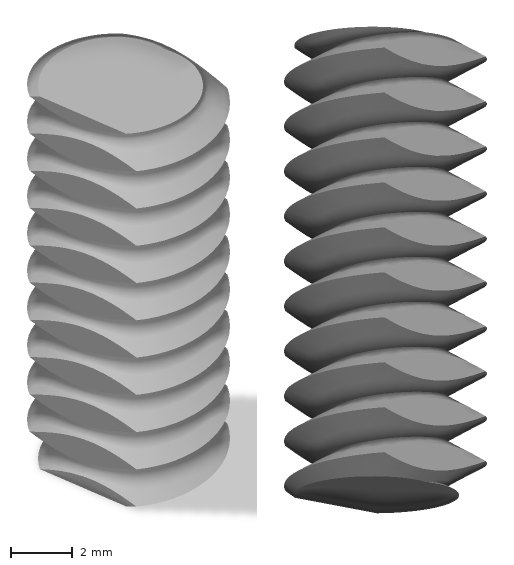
import cadquery as cq
import math

length = 15.0
pitch = 1.5
crest_radius = 3.3
thread_angle = 60.0
width_across_flats = 5.0

thread_depth = pitch / 2 / math.tan(math.radians(thread_angle / 2))
root_radius = crest_radius - thread_depth

spare_turns = 2
turn_count = math.ceil(length / pitch) + 2 * spare_turns
thread_bottom = -spare_turns * pitch - pitch / 2
thread_top = thread_bottom + turn_count * pitch
thread_start_angle = -90.0


def start_point(radius, z):
    """Point where a turn of the given radius starts, on the -Y side."""
    return cq.Vector(0, -radius, z)


def helix_turn(radius, z):
    """One right-handed turn rising by one pitch from z."""
    helix = cq.Wire.makeHelix(pitch, pitch, radius).Edges()[0]
    turned = helix.rotate(cq.Vector(0, 0, 0), cq.Vector(0, 0, 1), thread_start_angle)
    return turned.translate(cq.Vector(0, 0, z))


def flank_faces():
    """Upward and downward flanks, one ruled face each per turn."""
    faces = []
    for turn in range(turn_count):
        lower_root_z = thread_bottom + turn * pitch
        lower_root = helix_turn(root_radius, lower_root_z)
        crest = helix_turn(crest_radius, lower_root_z + pitch / 2)
        upper_root = helix_turn(root_radius, lower_root_z + pitch)
        faces.append(cq.Face.makeRuledSurface(lower_root, crest))
        faces.append(cq.Face.makeRuledSurface(crest, upper_root))
    return faces


def end_faces(root_z):
    """Ramp from the axis out to one root turn, and the tooth profile closing its step."""
    axis_low = cq.Vector(0, 0, root_z)
    axis_high = cq.Vector(0, 0, root_z + pitch)
    ramp = cq.Face.makeRuledSurface(
        cq.Edge.makeLine(axis_low, axis_high),
        helix_turn(root_radius, root_z),
    )
    profile = cq.Wire.makePolygon(
        [
            axis_low,
            start_point(root_radius, root_z),
            start_point(crest_radius, root_z + pitch / 2),
            start_point(root_radius, root_z + pitch),
            axis_high,
        ],
        close=True,
    )
    return [ramp, cq.Face.makeFromWires(profile)]


def threaded_rod():
    """Over-long solid rod bounded by the flanks and the two stepped ends."""
    faces = flank_faces() + end_faces(thread_bottom) + end_faces(thread_top)
    return cq.Workplane(cq.Solid.makeSolid(cq.Shell.makeShell(faces)))


def trimming_block():
    """Block whose top, bottom and +Y and -Y sides cut the rod ends and the two flats."""
    block_width = 4 * crest_radius
    return cq.Workplane("XY").box(
        block_width, width_across_flats, length, centered=(True, True, False)
    )


result = threaded_rod().intersect(trimming_block())